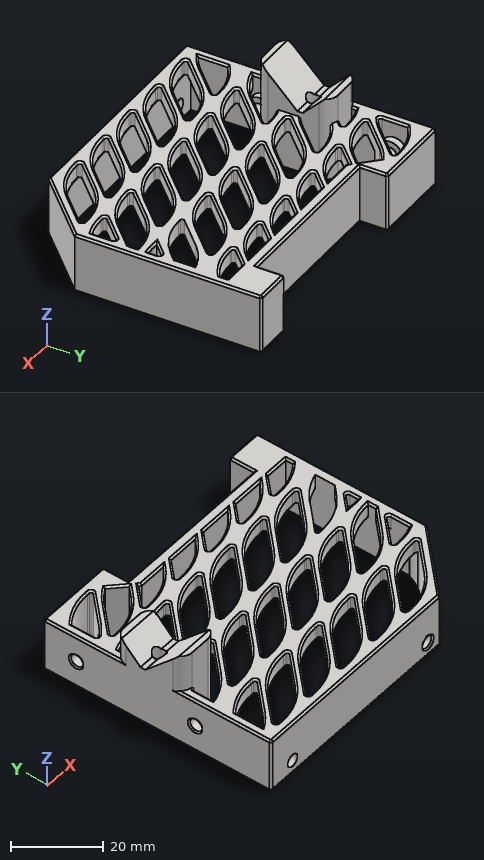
import cadquery as cq
import math

X_AXIS = (1, 0, 0)
Y_AXIS = (0, 1, 0)
Z_AXIS = (0, 0, 1)

LENGTH = 75.0
WIDTH = 63.0
BOX_HEIGHT = 15.0
TOWER_TOP = 25.3
EDGE = 0.5
WALL = 2.6
LEG_WALL = 2.25
NOTCH_WALL = 3.1
PLATE = 4.0

NOTCH_LEFT = 21.0
NOTCH_RIGHT = 65.0
NOTCH_DEPTH = 7.0
CORNER_CUT = 16.0
NOTCH_FLOOR = WIDTH - NOTCH_DEPTH

NOTCH_BACK = NOTCH_FLOOR - NOTCH_WALL
CAVITY_RADIUS = 9.0
SLANT_SUM = 74.8

SLOT_WIDTH = 6.0
SLOT_RIB = 2.0
SLOT_SPAN = 12.45
SLOT_TIP_RADIUS = 0.5
SLOT_BOW_RADIUS = 15.75
SLOT_PITCH = (SLOT_WIDTH + SLOT_RIB) * math.sqrt(2)
ROW_SHIFT = SLOT_PITCH / 3
ROW_PITCH = ROW_SHIFT * 4
FIRST_SLOT = (15.0, 8.9)
ROWS = range(4)
COLUMNS = range(-2, 6)
OMITTED_SLOT = (0, 5)
PLAIN_SLOT = (2, 4)
SHARP_SLOT = (2, 5)
ROUNDED_WALL_CORNERS = {(1, 5): ">Y", (2, 5): ">Y", (3, -2): "<Y"}

TOWER_LENGTH = 11.55
TOWER_START = 24.2
TOWER_WIDTH = 18.9
TOWER_RADIUS = 3.0
TOWER_LOW_TOP = 21.6
VEE_CENTRE = 35.4
VEE_FLOOR = 16.3
VEE_FLOOR_WIDTH = 1.35
TOWER_HOLE = 3.4

SCREW_HOLE = 3.3
COUNTERSINK = 0.4
PLAIN_HOLE = 3.4
SIDE_HOLE_Y = (21.0, 53.85)
SIDE_HOLE_Z = 7.6
FRONT_HOLE_Z = 4.0
FRONT_PLAIN_X = 7.5
FRONT_SCREW_X = 55.0
BOSS = 6.4
BOSS_END = 4.5


def box():
    """Chamfered block with the notch and the cut corner."""
    block = (
        cq.Workplane("XY")
        .polyline([
            (0, 0),
            (LENGTH - CORNER_CUT, 0),
            (LENGTH, CORNER_CUT),
            (LENGTH, WIDTH),
            (NOTCH_RIGHT, WIDTH),
            (NOTCH_RIGHT, NOTCH_FLOOR),
            (NOTCH_LEFT, NOTCH_FLOOR),
            (NOTCH_LEFT, WIDTH),
            (0, WIDTH),
        ])
        .close()
        .extrude(BOX_HEIGHT)
    )
    block = block.edges("|Z and (<X or >Y)").chamfer(EDGE)
    return block.faces("<Z").edges().chamfer(EDGE)


def cavity():
    """Room below the slotted plate; it ends at the notch wall, so the legs beside the notch are solid."""
    corner = CORNER_CUT + WALL * (math.sqrt(2) - 1)
    prism = (
        cq.Workplane("XY")
        .polyline([
            (WALL, WALL),
            (LENGTH - corner, WALL),
            (LENGTH - WALL, corner),
            (LENGTH - WALL, NOTCH_BACK),
            (WALL, NOTCH_BACK),
        ])
        .close()
        .extrude(BOX_HEIGHT - PLATE)
    )
    return prism.edges("|Z and >X").edges("<Y").fillet(CAVITY_RADIUS)


def slot_limit():
    """Prism that holds all slots; it reaches into the -X leg and is slanted there beside the notch."""
    leg_back = WIDTH - LEG_WALL
    return (
        cq.Workplane("XY")
        .polyline([
            (WALL, WALL),
            (LENGTH - WALL, WALL),
            (LENGTH - WALL, NOTCH_BACK),
            (SLANT_SUM - NOTCH_BACK, NOTCH_BACK),
            (SLANT_SUM - leg_back, leg_back),
            (WALL, leg_back),
        ])
        .close()
        .extrude(BOX_HEIGHT)
    )


def slot_prism(row, column):
    """Upright prism of one whole slot: a parallelogram with rounded corners."""
    x = FIRST_SLOT[0] + column * SLOT_PITCH + row * ROW_SHIFT
    y = FIRST_SLOT[1] + row * ROW_PITCH
    side = SLOT_WIDTH * math.sqrt(2)
    half_span = SLOT_SPAN / 2
    tip = half_span + side / 2
    bend = half_span - side / 2
    prism = (
        cq.Workplane("XY", origin=(x, y, 0))
        .polyline([(-tip, -half_span), (-bend, -half_span), (tip, half_span), (bend, half_span)])
        .close()
        .extrude(BOX_HEIGHT)
        .edges("|Z and (not (<X or >X))")
        .fillet(SLOT_BOW_RADIUS)
    )
    if (row, column) == SHARP_SLOT:
        return prism
    return prism.edges("<X or >X").fillet(SLOT_TIP_RADIUS)


def cut_slots(block):
    """Cut the slots, cut off at the walls, and chamfer all top edges but those of the plain slot."""
    limit = slot_limit()
    plain = slot_prism(*PLAIN_SLOT).intersect(limit)
    for row in ROWS:
        for column in COLUMNS:
            if (row, column) in (PLAIN_SLOT, OMITTED_SLOT):
                continue
            prism = slot_prism(row, column).intersect(limit)
            if not prism.vals():
                continue
            if (row, column) in ROUNDED_WALL_CORNERS:
                corner = ROUNDED_WALL_CORNERS[(row, column)]
                prism = prism.edges("|Z").edges(corner).fillet(SLOT_TIP_RADIUS)
            block = block.cut(prism)
    return block.faces(">Z").edges().chamfer(EDGE).cut(plain)


def tower():
    """V-block column with rounded corners that stands on the -X wall."""
    end = TOWER_START + TOWER_WIDTH
    half_floor = VEE_FLOOR_WIDTH / 2
    column = (
        cq.Workplane("XY")
        .box(TOWER_LENGTH, TOWER_WIDTH, TOWER_TOP, centered=False)
        .translate((0, TOWER_START, 0))
        .edges("|Z")
        .fillet(TOWER_RADIUS)
    )
    low_rise = TOWER_LOW_TOP - VEE_FLOOR
    high_rise = TOWER_TOP - VEE_FLOOR
    vee = (
        cq.Workplane("YZ")
        .polyline([
            (VEE_CENTRE - half_floor - high_rise, TOWER_TOP),
            (VEE_CENTRE - half_floor, VEE_FLOOR),
            (VEE_CENTRE + half_floor, VEE_FLOOR),
            (VEE_CENTRE + half_floor + low_rise, TOWER_LOW_TOP),
            (end, TOWER_LOW_TOP),
            (end, TOWER_TOP),
        ])
        .close()
        .extrude(TOWER_LENGTH)
    )
    return column.cut(vee).faces("<Z").edges("<X").chamfer(EDGE)


def cylinder(diameter, length, start, direction):
    solid = cq.Solid.makeCylinder(diameter / 2, length, cq.Vector(start), cq.Vector(direction))
    return cq.Workplane(solid)


def screw_hole(depth, start, direction):
    """Round hole with a 45 degree countersink on the outer side."""
    radius = SCREW_HOLE / 2
    sink = cq.Solid.makeCone(
        radius + COUNTERSINK, radius, COUNTERSINK, cq.Vector(start), cq.Vector(direction)
    )
    return cylinder(SCREW_HOLE, depth, start, direction).union(cq.Workplane(sink))


result = cut_slots(box()).cut(cavity())

for y in SIDE_HOLE_Y:
    result = result.union(cylinder(BOSS, BOSS_END - WALL / 2, (WALL / 2, y, SIDE_HOLE_Z), X_AXIS))

result = result.union(tower())
result = result.cut(cylinder(TOWER_HOLE, TOWER_TOP, (TOWER_LENGTH / 2, VEE_CENTRE, 0), Z_AXIS))

for y in SIDE_HOLE_Y:
    result = result.cut(screw_hole(BOSS_END, (0, y, SIDE_HOLE_Z), X_AXIS))
result = result.cut(screw_hole(WALL, (FRONT_SCREW_X, 0, FRONT_HOLE_Z), Y_AXIS))
result = result.cut(cylinder(PLAIN_HOLE, WALL, (FRONT_PLAIN_X, 0, FRONT_HOLE_Z), Y_AXIS))